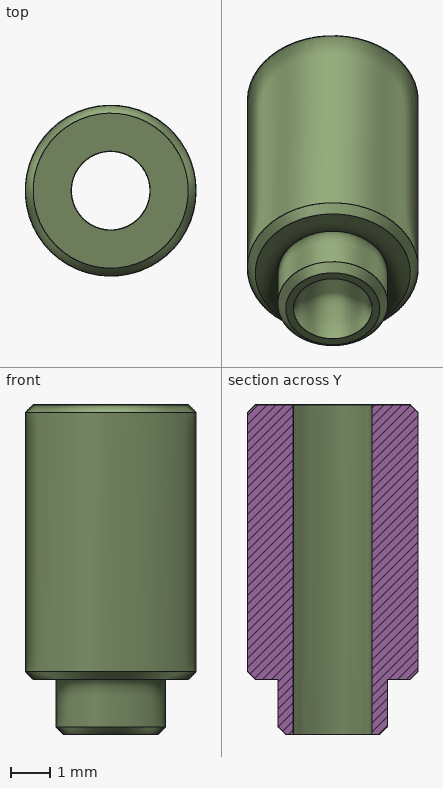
import cadquery as cq

total_height = 8.4
body_diameter = 4.35
spigot_diameter = 2.8
bore_diameter = 2.0
spigot_height = 1.4
chamfer_size = 0.2

body_height = total_height - spigot_height


def chamfered_cylinder(diameter, height, base_z, chamfered_edges):
    """Vertical cylinder starting at base_z, with the selected rims chamfered."""
    cylinder = cq.Workplane("XY").workplane(offset=base_z).circle(diameter / 2).extrude(height)
    return cylinder.edges(chamfered_edges).chamfer(chamfer_size)


spigot = chamfered_cylinder(spigot_diameter, spigot_height, 0, "<Z")
body = chamfered_cylinder(body_diameter, body_height, spigot_height, "<Z or >Z")

bore = cq.Workplane("XY").circle(bore_diameter / 2).extrude(total_height)

result = body.union(spigot).cut(bore)